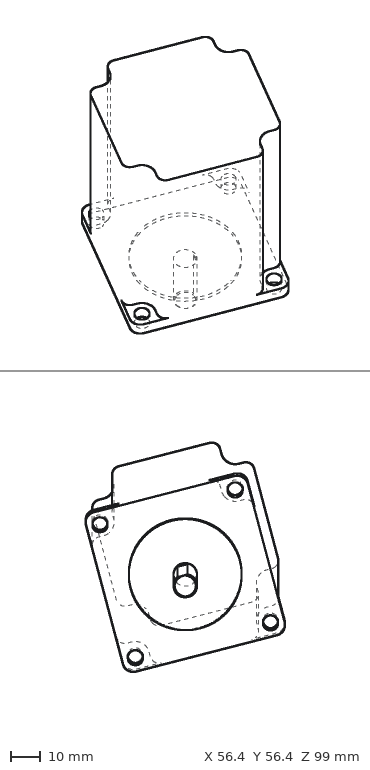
import cadquery as cq

body_width = 56.4
total_height = 99.0
shaft_reach = 23.2
body_height = total_height - shaft_reach

flange_thickness = 4.7
flange_corner_radius = 3.7
hole_spacing = 47.1
hole_diameter = 5.1

relief_radius = 4.8
relief_edge_radius = 3.0

pilot_diameter = 38.1
pilot_height = 1.6

shaft_diameter = 7.9
shaft_chamfer = 0.4
flat_depth = 0.4
flat_start = 3.1

hole_inset = (body_width - hole_spacing) / 2
relief_width = hole_inset + relief_radius


def make_flange():
    """Square mounting plate with rounded corners and four through holes."""
    plate = cq.Workplane("XY").rect(body_width, body_width).extrude(flange_thickness)
    plate = plate.edges("|Z").fillet(flange_corner_radius)
    return (
        plate.faces(">Z").workplane()
        .rect(hole_spacing, hole_spacing, forConstruction=True).vertices()
        .hole(hole_diameter)
    )


def make_housing():
    """Square column with a rounded relief above each mounting hole."""
    housing_height = body_height - flange_thickness
    base = cq.Workplane("XY").workplane(offset=flange_thickness)
    column = base.rect(body_width, body_width).extrude(housing_height)
    reliefs = (
        base.rect(body_width, body_width, forConstruction=True).vertices()
        .rect(2 * relief_width, 2 * relief_width).extrude(housing_height)
        .edges("|Z").fillet(relief_radius)
    )
    column = column.cut(reliefs)
    for side in ("<X", ">X", "<Y", ">Y"):
        column = column.faces(side).edges("|Z").fillet(relief_edge_radius)
    return column


def make_shaft():
    """Round shaft with a chamfered tip and a flat on its +Y side."""
    shaft = cq.Workplane("XY").circle(shaft_diameter / 2).extrude(-shaft_reach)
    shaft = shaft.faces("<Z").chamfer(shaft_chamfer)
    flat_cutter = (
        cq.Workplane("XY").workplane(offset=-flat_start)
        .center(0, shaft_diameter - flat_depth)
        .rect(shaft_diameter, shaft_diameter).extrude(flat_start - shaft_reach)
    )
    return shaft.cut(flat_cutter)


pilot = cq.Workplane("XY").circle(pilot_diameter / 2).extrude(-pilot_height)

result = make_flange().union(make_housing()).union(pilot).union(make_shaft())